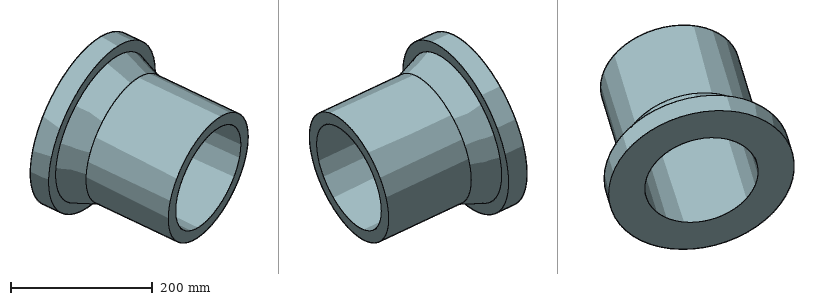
import cadquery as cq

total_length = 213.0
flange_diameter = 268.0
flange_thickness = 31.5
hub_diameter = 232.5
hub_length = 41.0
pipe_diameter = 201.0
bore_diameter = 163.5

flange_radius = flange_diameter / 2
hub_radius = hub_diameter / 2
pipe_radius = pipe_diameter / 2
bore_radius = bore_diameter / 2
hub_end = flange_thickness + hub_length

half_section = (
    cq.Workplane("XY")
    .moveTo(0, bore_radius)
    .lineTo(0, flange_radius)
    .lineTo(flange_thickness, flange_radius)
    .lineTo(flange_thickness, hub_radius)
    .lineTo(hub_end, pipe_radius)
    .lineTo(total_length, pipe_radius)
    .lineTo(total_length, bore_radius)
    .close()
)

result = half_section.revolve(360, (0, 0, 0), (1, 0, 0))